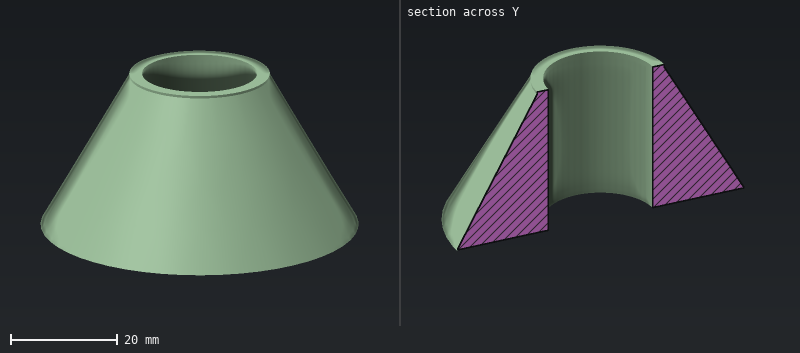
import cadquery as cq

base_diameter = 60.0
rim_diameter = 26.5
bore_diameter = 21.7
height = 30.0
rim_height = 0.5

base_radius = base_diameter / 2
rim_radius = rim_diameter / 2
bore_radius = bore_diameter / 2

half_section = (
    cq.Workplane("XZ")
    .moveTo(bore_radius, 0)
    .lineTo(base_radius, 0)
    .lineTo(rim_radius, height - rim_height)
    .lineTo(rim_radius, height)
    .lineTo(bore_radius, height)
    .close()
)

result = half_section.revolve(360, (0, 0, 0), (0, 1, 0))